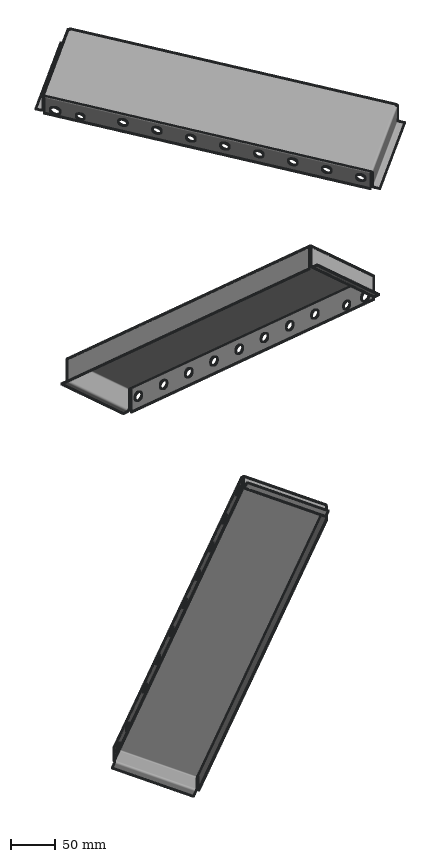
import cadquery as cq

LENGTH = 405.0
WIDTH = 104.0
HEIGHT = 30.0
SHEET = 1.0
INNER_RADIUS = 1.4
FLANGE_REACH = 8.0
FLANGE_RAISE = 1.0

OUTER_RADIUS = INNER_RADIUS + SHEET
BODY_LENGTH = LENGTH - 2 * FLANGE_REACH
LONG_STRIP_LENGTH = BODY_LENGTH - 2 * OUTER_RADIUS
FLANGE_WIDTH = WIDTH - 2 * OUTER_RADIUS
CORNER_STEP = 1.82
END_STRIP_WIDTH = WIDTH - 2 * CORNER_STEP

ROW_COUNT = 8
ROW_FIRST_X = -99.2
ROW_LAST_X = 180.5
ROW_Z = 16.0
ROW_DIAMETER = 11.0
LOW_HOLE_Z = 9.0
LARGE_HOLE_X = -179.0
LARGE_HOLE_DIAMETER = 12.0
SMALL_HOLE_X = -149.5
SMALL_HOLE_DIAMETER = 10.0


def channel(span, base, depth):
    """Inverted U of bent sheet running along Y, with its walls ending at z = base."""
    wall_height = HEIGHT - base

    def block(width, height, radius):
        return (
            cq.Workplane("XY")
            .box(width, depth, height, centered=(True, True, False))
            .edges("|Y and >Z")
            .fillet(radius)
            .translate((0, 0, base))
        )

    outside = block(span, wall_height, OUTER_RADIUS)
    inside = block(span - 2 * SHEET, wall_height - SHEET, INNER_RADIUS)
    return outside.cut(inside)


def flange(side):
    """Outward foot and its bend, at the +X (side = 1) or -X (side = -1) end."""
    wall_outer = BODY_LENGTH / 2
    wall_inner = wall_outer - SHEET
    bend_center = wall_outer + INNER_RADIUS
    bend_top = FLANGE_RAISE + OUTER_RADIUS
    flange_top = FLANGE_RAISE + SHEET
    tip = LENGTH / 2
    profile = (
        cq.Workplane("XZ")
        .moveTo(side * wall_inner, bend_top)
        .radiusArc((side * bend_center, FLANGE_RAISE), -side * OUTER_RADIUS)
        .lineTo(side * tip, FLANGE_RAISE)
        .lineTo(side * tip, flange_top)
        .lineTo(side * bend_center, flange_top)
        .radiusArc((side * wall_outer, bend_top), side * INNER_RADIUS)
        .close()
    )
    return profile.extrude(FLANGE_WIDTH / 2, both=True)


def front_hole(x, z, diameter):
    """Cutter that passes through the front wall only."""
    return (
        cq.Workplane("XZ", origin=(x, -WIDTH / 2 + 2 * SHEET, z))
        .circle(diameter / 2)
        .extrude(3 * SHEET)
    )


long_strip = channel(WIDTH, 0, LONG_STRIP_LENGTH).rotate((0, 0, 0), (0, 0, 1), 90)
end_strip = channel(BODY_LENGTH, FLANGE_RAISE + OUTER_RADIUS, END_STRIP_WIDTH)
result = long_strip.union(end_strip)

for side in (-1, 1):
    result = result.union(flange(side))

row_pitch = (ROW_LAST_X - ROW_FIRST_X) / (ROW_COUNT - 1)
for index in range(ROW_COUNT):
    result = result.cut(front_hole(ROW_FIRST_X + index * row_pitch, ROW_Z, ROW_DIAMETER))

result = result.cut(front_hole(LARGE_HOLE_X, LOW_HOLE_Z, LARGE_HOLE_DIAMETER))
result = result.cut(front_hole(SMALL_HOLE_X, LOW_HOLE_Z, SMALL_HOLE_DIAMETER))